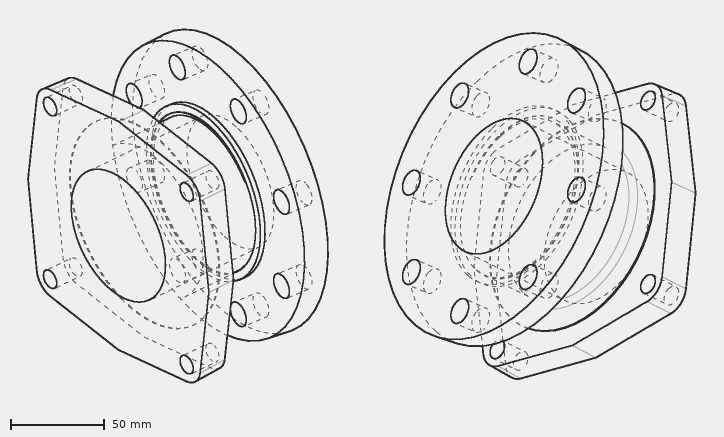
import cadquery as cq
import math

overall_depth = 85.4
bore_diameter = 76.0
pipe_diameter = 89.3

flange_diameter = 172.1
flange_thickness = 15.0
flange_tilt = 4.0
flange_draft = 4.0
flange_hole_count = 8
flange_hole_diameter = 14.0
flange_hole_circle = 140.1
ring_diameter = 100.5
ring_thickness = 3.1
collar_diameter = 91.5
collar_height = 0.5

plate_thickness = 18.0
plate_peak = 73.0
plate_side_slope = 7.3
plate_corner_radius = 12.7
plate_draft = 2.0
plate_hole_offset = 55.0
plate_hole_diameter = 10.7
pad_diameter = 120.5
pad_thickness = 0.7
pipe_fillet = 3.3

tilt = math.radians(flange_tilt)
flange_center_y = overall_depth - flange_diameter / 2 * math.sin(tilt)
plate_back = plate_thickness + pad_thickness


def plane_facing_back(y):
    """Plane square to the Y axis, with its normal along +Y."""
    return cq.Workplane(cq.Plane((0, y, 0), xDir=(1, 0, 0), normal=(0, 1, 0)))


def tilted_plane(depth):
    """Plane parallel to the flange, at a depth in front of its back face."""
    normal = (math.sin(tilt), math.cos(tilt), 0)
    origin = (-depth * normal[0], flange_center_y - depth * normal[1], 0)
    return cq.Workplane(cq.Plane(origin, xDir=(0, 0, 1), normal=tuple(-n for n in normal)))


def make_plate():
    corner = plate_peak / (1 + math.tan(math.radians(plate_side_slope)))
    outline = [
        (plate_peak, 0), (corner, corner), (0, plate_peak), (-corner, corner),
        (-plate_peak, 0), (-corner, -corner), (0, -plate_peak), (corner, -corner),
    ]
    plate = plane_facing_back(0).polyline(outline).close().extrude(plate_thickness, taper=plate_draft)
    for x_sign in (-1, 1):
        for z_sign in (-1, 1):
            corner_middle = (x_sign * corner, plate_thickness / 2, z_sign * corner)
            plate = plate.edges(cq.selectors.NearestToPointSelector(corner_middle)).fillet(plate_corner_radius)
    return plate


def make_pipe():
    """Pad and pipe turned about Y, with a fillet at the foot of the pipe."""
    pad = plane_facing_back(plate_thickness).circle(pad_diameter / 2).extrude(pad_thickness)
    pipe_length = flange_center_y - plate_back - flange_thickness / 2
    pipe = plane_facing_back(plate_back).circle(pipe_diameter / 2).extrude(pipe_length)
    foot = cq.selectors.NearestToPointSelector((0, plate_back, 0))
    return pad.union(pipe).edges(foot).fillet(pipe_fillet)


def make_flange():
    disc = tilted_plane(0).circle(flange_diameter / 2).extrude(flange_thickness, taper=flange_draft)
    ring = tilted_plane(flange_thickness).circle(ring_diameter / 2).extrude(ring_thickness)
    collar = tilted_plane(flange_thickness + ring_thickness).circle(collar_diameter / 2).extrude(collar_height)
    holes = (
        tilted_plane(0)
        .polarArray(flange_hole_circle / 2, 180 / flange_hole_count, 360, flange_hole_count)
        .circle(flange_hole_diameter / 2)
        .extrude(flange_thickness)
    )
    return disc.union(ring).union(collar).cut(holes)


plate_holes = (
    plane_facing_back(0)
    .rect(2 * plate_hole_offset, 2 * plate_hole_offset, forConstruction=True)
    .vertices()
    .circle(plate_hole_diameter / 2)
    .extrude(plate_thickness)
)
bore = plane_facing_back(0).circle(bore_diameter / 2).extrude(overall_depth)

result = make_plate().cut(plate_holes).union(make_pipe()).union(make_flange()).cut(bore)